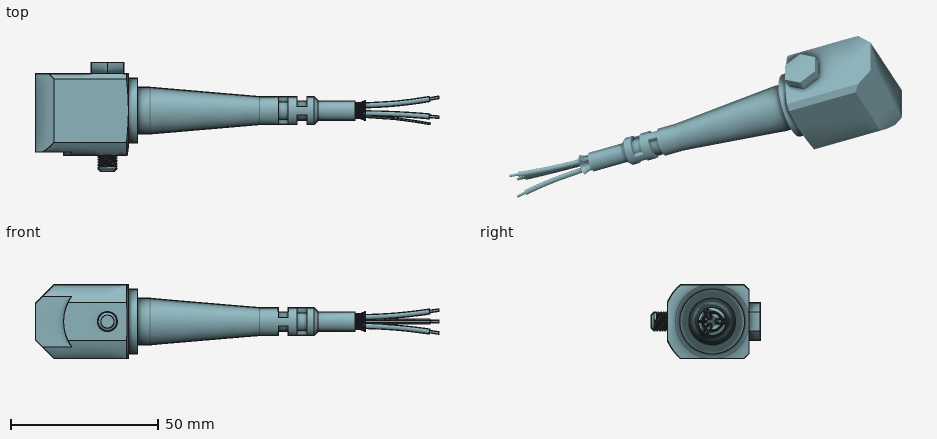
import cadquery as cq
import math


housing_length = 31.6
housing_half = 12.575
front_round_radius = 16.55
mount_face_distance = 15.24
recess_face_distance = 14.15
end_chamfer = 6.35
rear_edge_chamfer = 1.78
mount_face_radius = 14.9
back_bevel_inner_radius = housing_half
back_bevel_depth = 0.6

bolt_x = 24.5
bolt_hole_diameter = 6.76
bolt_diameter = 6.35
bolt_head_flats = 11.11
bolt_head_height = 3.81
total_width = 37.16
bolt_tip_chamfer = 0.95
thread_pitch = 0.907
thread_root_diameter = 5.36
thread_opening = 0.8
thread_overcut = 0.05
thread_length = 10.0

flange_diameter = 22.05
flange_end_x = 34.8
boot_diameter = 15.88
boot_straight_end_x = 39.0
sleeve_diameter = 9.53
taper_end_x = 76.2
sleeve_end_x = 96.1
sleeve_end_chamfer = 1.35
slot_width = 3.3
bridge_width = 2.9
z_slot_x = 82.6
y_slot_x = 89.0

cable_diameter = 6.6
cable_end_x = 108.7
braid_diameter = 5.36
braid_flare_diameter = 6.9
braid_flare_x = 110.4
braid_end_x = 112.2
braid_strands = 36
braid_groove_depth = 0.6

wire_count = 3
wire_diameter = 1.75
wire_circle_radius = 1.75
wire_spread = 2.2
wire_end_angle = math.radians(10)
wire_end_x = 134.0
conductor_diameter = 0.9
overall_length = 137.25
drain_diameter = 0.6
drain_circle_radius = 2.0
drain_spread = 2.5
drain_end_x = 134.2


def cylinder_x(diameter, start_x, end_x):
    """Plain cylinder on the cable axis."""
    return cq.Workplane("YZ", origin=(start_x, 0, 0)).circle(diameter / 2).extrude(end_x - start_x)


def make_housing():
    """Chamfered block whose two -Y edges are rounded about the cable axis."""
    round_top_y = -math.sqrt(front_round_radius**2 - housing_half**2)
    round_end_z = math.sqrt(front_round_radius**2 - mount_face_distance**2)
    chamfer_start = housing_half - rear_edge_chamfer
    middle_angle = (math.atan2(housing_half, -round_top_y) + math.atan2(round_end_z, mount_face_distance)) / 2
    middle_y = -front_round_radius * math.cos(middle_angle)
    middle_z = front_round_radius * math.sin(middle_angle)
    block = (
        cq.Workplane("YZ")
        .moveTo(chamfer_start, housing_half)
        .lineTo(round_top_y, housing_half)
        .threePointArc((middle_y, middle_z), (-mount_face_distance, round_end_z))
        .lineTo(-mount_face_distance, -round_end_z)
        .threePointArc((middle_y, -middle_z), (round_top_y, -housing_half))
        .lineTo(chamfer_start, -housing_half)
        .lineTo(housing_half, -chamfer_start)
        .lineTo(housing_half, chamfer_start)
        .close()
        .extrude(housing_length)
    )
    end_profile = (
        cq.Workplane("XZ")
        .rect(2 * housing_length, 2 * housing_half)
        .extrude(2 * front_round_radius, both=True)
        .edges("|Y")
        .chamfer(end_chamfer)
        .translate((housing_length, 0, 0))
    )
    return block.intersect(end_profile)


def mount_face_recess():
    """Material removed outside the raised mounting face, toward the -X end."""
    depth = mount_face_distance - recess_face_distance
    plane = cq.Workplane("XZ", origin=(0, -recess_face_distance, 0))
    slab = plane.rect(2 * bolt_x, 4 * housing_half).extrude(2 * depth)
    raised = plane.center(bolt_x, 0).circle(mount_face_radius).extrude(2 * depth)
    return slab.cut(raised)


def back_bevel():
    """Ring removed to leave a shallow conical bevel around the +X end of the housing."""
    outer_radius = 2 * front_round_radius - back_bevel_inner_radius
    outer_depth = 2 * back_bevel_depth
    return (
        cq.Workplane("XY")
        .moveTo(housing_length, back_bevel_inner_radius)
        .lineTo(housing_length, outer_radius)
        .lineTo(housing_length - outer_depth, outer_radius)
        .close()
        .revolve(360, (0, 0, 0), (1, 0, 0))
    )


def make_strain_relief():
    """Flange, tapered boot and sleeve, turned about the cable axis."""
    sleeve_radius = sleeve_diameter / 2
    return (
        cq.Workplane("XY")
        .moveTo(housing_length, 0)
        .lineTo(housing_length, flange_diameter / 2)
        .lineTo(flange_end_x, flange_diameter / 2)
        .lineTo(flange_end_x, boot_diameter / 2)
        .lineTo(boot_straight_end_x, boot_diameter / 2)
        .lineTo(taper_end_x, sleeve_radius)
        .lineTo(sleeve_end_x - sleeve_end_chamfer, sleeve_radius)
        .lineTo(sleeve_end_x, sleeve_radius - sleeve_end_chamfer)
        .lineTo(sleeve_end_x, 0)
        .close()
        .revolve(360, (0, 0, 0), (1, 0, 0))
    )


def slot_pair(start_x, turn):
    """Opposite slots through the sleeve wall, opening toward +Z and -Z before the turn about X."""
    cutter = (
        cq.Workplane("YZ", origin=(start_x, 0, 0))
        .rect(2 * sleeve_diameter, 2 * sleeve_diameter)
        .rect(2 * sleeve_diameter, bridge_width)
        .extrude(slot_width)
    )
    return cutter.rotate((0, 0, 0), (1, 0, 0), turn)


def strand_ring(diameter):
    """Points of the braid outline: alternating strand crests and grooves."""
    crest = diameter / 2
    radii = [crest, crest - braid_groove_depth] * braid_strands
    step = math.pi / braid_strands
    return [(r * math.cos(i * step), r * math.sin(i * step)) for i, r in enumerate(radii)]


def make_braid():
    """Exposed shield braid: grooved between strands and flared at the cut end."""
    straight = (
        cq.Workplane("YZ", origin=(cable_end_x, 0, 0))
        .polyline(strand_ring(braid_diameter))
        .close()
        .extrude(braid_flare_x - cable_end_x)
    )
    flare = (
        cq.Workplane("YZ", origin=(braid_flare_x, 0, 0))
        .polyline(strand_ring(braid_diameter))
        .close()
        .workplane(offset=braid_end_x - braid_flare_x)
        .polyline(strand_ring(braid_flare_diameter))
        .close()
        .loft(ruled=True)
    )
    return straight.union(flare)


def bent_strand(diameter, circle_radius, spread, end_x):
    """Strand that starts parallel to the cable and curves away from the axis toward +Y."""
    path = cq.Workplane("XY").spline(
        [(cable_end_x, circle_radius), (end_x, circle_radius + spread)],
        tangents=[(1, 0), (math.cos(wire_end_angle), math.sin(wire_end_angle))],
    )
    profile = cq.Workplane("YZ", origin=(cable_end_x, circle_radius, 0)).circle(diameter / 2)
    return profile.sweep(path)


def make_wire():
    """Insulated wire with its bare conductor continuing straight from the end of the bend."""
    insulation = bent_strand(wire_diameter, wire_circle_radius, wire_spread, wire_end_x)
    direction = cq.Vector(math.cos(wire_end_angle), math.sin(wire_end_angle), 0)
    tip_reach = conductor_diameter / 2 * math.sin(wire_end_angle)
    length = (overall_length - wire_end_x - tip_reach) / math.cos(wire_end_angle)
    start = cq.Vector(wire_end_x, wire_circle_radius + wire_spread, 0)
    conductor = cq.Solid.makeCylinder(
        conductor_diameter / 2, length + wire_diameter, start - direction * wire_diameter, direction
    )
    return insulation.union(cq.Workplane(conductor))


def make_sensor():
    """Housing, strain relief, cable and wires as one solid."""
    sensor = make_housing().cut(mount_face_recess()).cut(back_bevel())
    bolt_hole = (
        cq.Workplane("XZ", origin=(bolt_x, 0, 0))
        .circle(bolt_hole_diameter / 2)
        .extrude(2 * front_round_radius, both=True)
    )
    sensor = sensor.cut(bolt_hole)
    relief = make_strain_relief()
    relief = relief.cut(slot_pair(z_slot_x, 0)).cut(slot_pair(y_slot_x, 90))
    sensor = sensor.union(relief)
    sensor = sensor.union(cylinder_x(cable_diameter, taper_end_x, cable_end_x))
    sensor = sensor.union(make_braid())
    for i in range(wire_count):
        sensor = sensor.union(make_wire().rotate((0, 0, 0), (1, 0, 0), i * 360 / wire_count))
    drain = bent_strand(drain_diameter, drain_circle_radius, drain_spread, drain_end_x)
    return sensor.union(drain.rotate((0, 0, 0), (1, 0, 0), 180))


def make_bolt():
    """Hex bolt with its head on the +Y face and its threaded tip pointing to -Y."""
    head_top_y = housing_half + bolt_head_height
    tip_y = head_top_y - total_width
    shank_length = housing_half - tip_y
    head_corners = bolt_head_flats / math.cos(math.pi / 6)
    shank = (
        cq.Workplane("XY")
        .circle(bolt_diameter / 2)
        .extrude(shank_length)
        .faces(">Z")
        .chamfer(bolt_tip_chamfer)
    )
    open_radius = bolt_diameter / 2 + thread_overcut
    half_opening = thread_opening / 2
    groove_path = cq.Wire.makeHelix(thread_pitch, thread_length, bolt_diameter / 2)
    groove_start = shank_length - bolt_tip_chamfer - half_opening - thread_length
    groove = (
        cq.Workplane("XZ")
        .moveTo(open_radius, -half_opening)
        .lineTo(thread_root_diameter / 2, 0)
        .lineTo(open_radius, half_opening)
        .close()
        .sweep(cq.Workplane(groove_path), isFrenet=True)
        .translate((0, 0, groove_start))
    )
    shank = shank.cut(groove)
    head = (
        cq.Workplane("XY")
        .polygon(6, head_corners)
        .extrude(-bolt_head_height)
        .rotate((0, 0, 0), (0, 0, 1), 30)
    )
    bolt = shank.union(head)
    return bolt.rotate((0, 0, 0), (1, 0, 0), 90).translate((bolt_x, housing_half, 0))


sensor = make_sensor()
bolt = make_bolt()
result = cq.Compound.makeCompound([sensor.val(), bolt.val()])